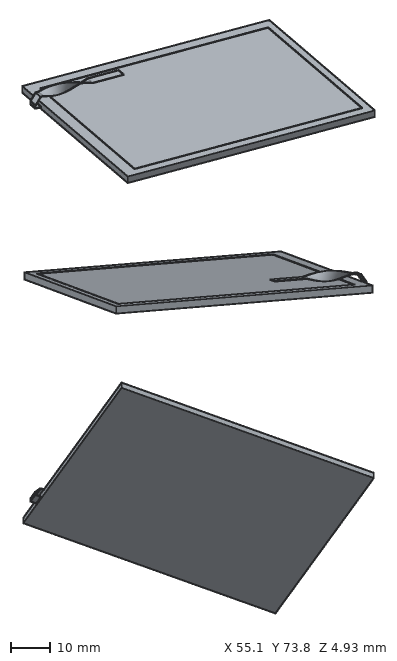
import cadquery as cq
import math

plate_width = 55.1
plate_length = 72.0
plate_thickness = 1.9

rim_left = 3.25
rim_right = 2.85
rim_front = 3.55
rim_back = 2.15
screen_recess = 0.2
screen_thickness = 0.8
screen_width = plate_width - rim_left - rim_right
screen_length = plate_length - rim_front - rim_back
screen_center_x = (rim_left - rim_right) / 2
screen_center_y = rim_front + screen_length / 2
pocket_depth = screen_recess + screen_thickness
pocket_floor = plate_thickness - pocket_depth

overall_height = 4.93
overall_length = 73.76
ribbon_width = 2.7
ribbon_thickness = 0.2
ribbon_x = -plate_width / 2 + 8.7
ribbon_tail_y = 24.0
twist_back_y = 15.0
twist_front_y = 0.6
twist_angle = 180
ribbon_z = overall_height - math.hypot(ribbon_width, ribbon_thickness) / 2
hook_front_y = -(overall_length - plate_length) + ribbon_thickness / 2
hook_bend_y = -0.15
hook_knee_z = 1.5
hook_foot_z = 0.6


def block(width, length, height, center_x, center_y, bottom_z):
    return (
        cq.Workplane("XY", origin=(center_x, center_y, bottom_z))
        .rect(width, length)
        .extrude(height)
    )


def make_plate():
    body = block(plate_width, plate_length, plate_thickness, 0, plate_length / 2, 0)
    pocket = block(
        screen_width, screen_length, pocket_depth, screen_center_x, screen_center_y, pocket_floor
    )
    return body.cut(pocket)


def make_screen():
    return block(
        screen_width, screen_length, screen_thickness, screen_center_x, screen_center_y, pocket_floor
    )


def ribbon_section(y):
    """Cross-section of the ribbon at a given Y, facing -Y."""
    return cq.Workplane("XZ", origin=(ribbon_x, y, ribbon_z)).rect(ribbon_width, ribbon_thickness)


def make_ribbon():
    tail = ribbon_section(ribbon_tail_y).extrude(ribbon_tail_y - twist_back_y)
    twist = ribbon_section(twist_back_y).twistExtrude(twist_back_y - twist_front_y, twist_angle)
    hook_path = cq.Workplane("YZ", origin=(ribbon_x, 0, 0)).polyline(
        [
            (twist_front_y, ribbon_z),
            (hook_bend_y, ribbon_z),
            (hook_front_y, hook_knee_z),
            (hook_front_y, hook_foot_z),
            (0, hook_foot_z),
        ]
    )
    hook = ribbon_section(twist_front_y).sweep(hook_path, transition="round")
    return tail.union(twist).union(hook)


plate = make_plate()
screen = make_screen()
ribbon = make_ribbon()

result = cq.Compound.makeCompound(
    [*plate.solids().vals(), *screen.solids().vals(), *ribbon.solids().vals()]
)